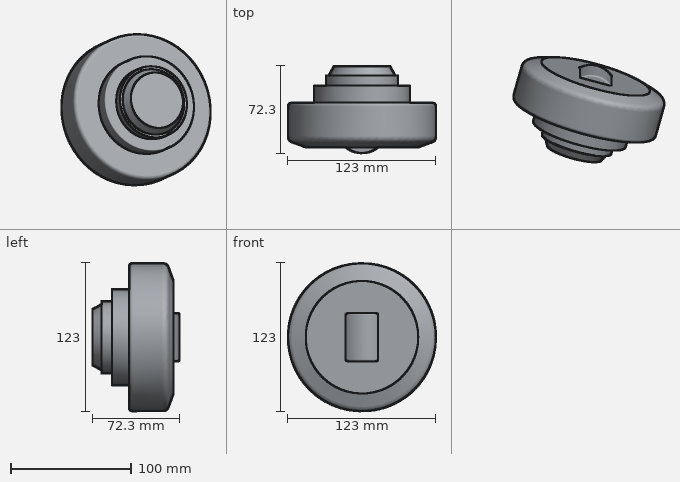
import cadquery as cq
import math

rim_diameter = 123.0
rim_back = 37.0
rim_back_fillet = 3.0
rim_front_fillet = 5.0
front_face_diameter = 93.5
front_cone_angle = 20.0

collar_diameter = 80.0
collar_back = 51.3
collar_fillet = 0.7
shoulder_diameter = 60.0
shoulder_back = 59.7
tip_base_diameter = 55.1
tip_end_diameter = 46.7
tip_back = 67.4

side_roller_diameter = 42.0
side_roller_length = 40.0
side_roller_fillet = 1.5
side_roller_projection = 4.9
side_roller_axis_y = side_roller_diameter / 2 - side_roller_projection


def make_rim():
    """Wheel with a conical front edge and rounded corners."""
    radius = rim_diameter / 2
    face_radius = front_face_diameter / 2
    cone_depth = (radius - face_radius) * math.tan(math.radians(front_cone_angle))
    rim = (
        cq.Workplane("XY")
        .moveTo(0, 0)
        .lineTo(face_radius, 0)
        .lineTo(radius, cone_depth)
        .lineTo(radius, rim_back)
        .lineTo(0, rim_back)
        .close()
        .revolve(360, (0, 0, 0), (0, 1, 0))
    )
    rim = rim.faces(">Y").edges().fillet(rim_back_fillet)
    cone_edge = cq.selectors.RadiusNthSelector(-1)
    return rim.faces("%CONE").edges(cone_edge).fillet(rim_front_fillet)


def make_disc(diameter, front, back):
    """Cylinder on the Y axis between two Y positions."""
    return cq.Workplane("XZ", origin=(0, front, 0)).circle(diameter / 2).extrude(front - back)


def make_shank():
    """Collar, shoulder and tapered tip."""
    collar = make_disc(collar_diameter, rim_back, collar_back)
    collar = collar.faces(">Y").edges().fillet(collar_fillet)
    shoulder = make_disc(shoulder_diameter, collar_back, shoulder_back)
    tip = (
        cq.Workplane("XY")
        .moveTo(0, shoulder_back)
        .lineTo(tip_base_diameter / 2, shoulder_back)
        .lineTo(tip_end_diameter / 2, tip_back)
        .lineTo(0, tip_back)
        .close()
        .revolve(360, (0, 0, 0), (0, 1, 0))
    )
    return collar.union(shoulder).union(tip)


def make_side_roller():
    """Cylinder parallel to Z with rounded ends."""
    return (
        cq.Workplane("XY", origin=(0, side_roller_axis_y, -side_roller_length / 2))
        .circle(side_roller_diameter / 2)
        .extrude(side_roller_length)
        .faces("|Z")
        .edges()
        .fillet(side_roller_fillet)
    )


side_roller = make_side_roller()

main_roller = make_rim().union(make_shank()).cut(side_roller)

result = cq.Compound.makeCompound([main_roller.solids().val(), side_roller.val()])